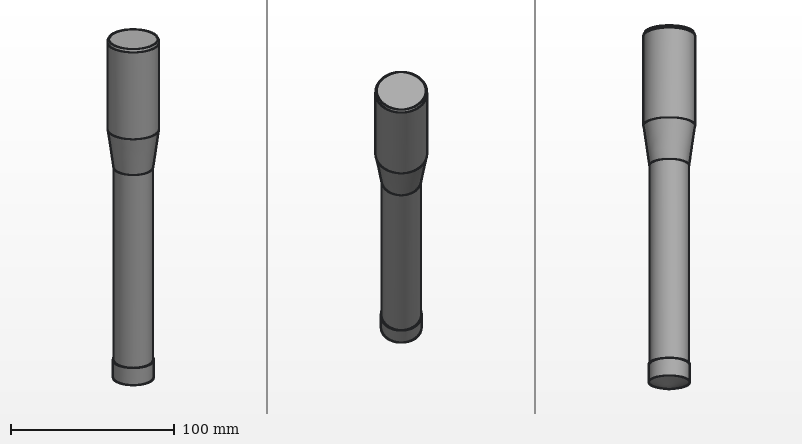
import cadquery as cq

TOTAL_LENGTH = 230.5

GRIP_DIAMETER = 31.8
GRIP_LENGTH = 60.0
GRIP_CHAMFER_WIDTH = 1.0
GRIP_CHAMFER_HEIGHT = 1.8
NECK_LENGTH = 25.5
NECK_TOP_DIAMETER = 31.3
NECK_BOTTOM_DIAMETER = 24.7
NECK_EDGE_HEIGHT = 0.7
SHANK_DIAMETER = 24.2

TIP_DIAMETER = 25.1
COLLAR_LENGTH = 11.5
POINT_LENGTH = 4.5

TIP_LENGTH = COLLAR_LENGTH + POINT_LENGTH
center = TOTAL_LENGTH / 2
top_z = center
bottom_z = -center
tip_top_z = bottom_z + TIP_LENGTH
grip_bottom_z = top_z - GRIP_LENGTH
neck_bottom_z = grip_bottom_z - NECK_LENGTH


def revolve_profile(points):
    """Turn a closed (radius, z) outline about the Z axis."""
    return cq.Workplane("XZ").polyline(points).close().revolve(360, (0, 0), (0, 1))


def make_holder():
    """Chamfered grip, beveled neck and straight shank in one piece."""
    grip_radius = GRIP_DIAMETER / 2
    shank_radius = SHANK_DIAMETER / 2
    return revolve_profile([
        (0, tip_top_z),
        (shank_radius, tip_top_z),
        (shank_radius, neck_bottom_z),
        (NECK_BOTTOM_DIAMETER / 2, neck_bottom_z + NECK_EDGE_HEIGHT),
        (NECK_TOP_DIAMETER / 2, grip_bottom_z - NECK_EDGE_HEIGHT),
        (grip_radius, grip_bottom_z),
        (grip_radius, top_z - GRIP_CHAMFER_HEIGHT),
        (grip_radius - GRIP_CHAMFER_WIDTH, top_z),
        (0, top_z),
    ])


def make_tip():
    """Collar that overhangs the shank and ends in a point."""
    return revolve_profile([
        (0, bottom_z),
        (TIP_DIAMETER / 2, bottom_z + POINT_LENGTH),
        (TIP_DIAMETER / 2, tip_top_z),
        (0, tip_top_z),
    ])


holder = make_holder()
tip = make_tip()

result = cq.Compound.makeCompound([holder.val(), tip.val()])